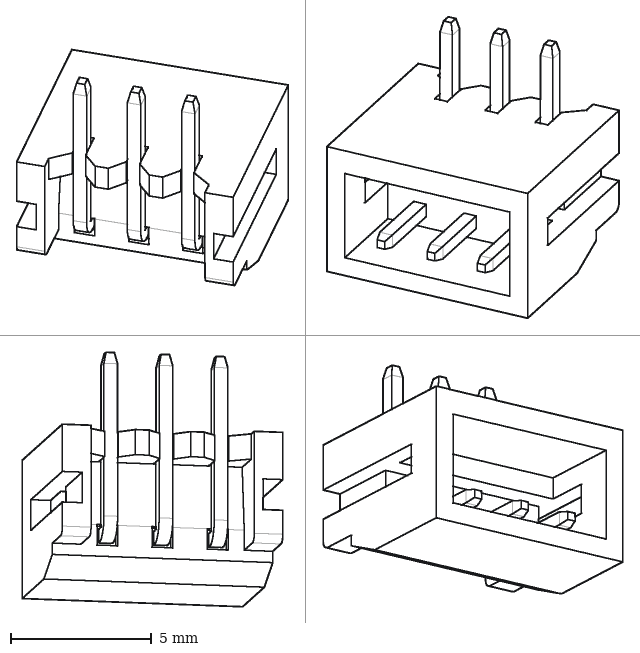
import cadquery as cq


width = 8.0
depth = 7.2
height = 5.0
half_width = width / 2

arm_thickness = 1.04
bay_half_width = half_width - arm_thickness
arm_underside = 1.02
arm_round = 0.3
bay_depth = 1.8
chamfer_top = 0.62
chamfer_end = 3.3
roof_thickness = 0.91
roof_underside = height - roof_thickness

lean_start_height = 1.76

tooth_tip_width = 0.5
tooth_front = 0.51
notch_front = 1.07
notch_back = 2.16

slot_depth = 0.72
slot_bottom = 2.18
slot_top = 3.29
window_start = 2.9
window_end = 5.62

cavity_front = 3.82
cavity_floor = 0.72
cavity_half_width = half_width - slot_depth

pin_count = 3
pitch = 2.0
pin_width = 0.5
upright_thickness = 0.56
pin_front = 1.2
pin_bottom = 1.16
level_thickness = 0.5
pin_top = 7.9
pin_back_end = 6.9
bend_radius = 0.82
tip_length = 0.42
tip_inset = 0.1

pocket_width = 0.75
pocket_floor = 1.02
pocket_back = notch_back

pin_places = [(i - (pin_count - 1) / 2) * pitch for i in range(pin_count)]


def block(x_min, x_max, y_min, y_max, z_min, z_max):
    """Box between two opposite corners."""
    size = (x_max - x_min, y_max - y_min, z_max - z_min)
    return cq.Workplane("XY").box(*size, centered=False).translate((x_min, y_min, z_min))


def side_profile(points, half_length):
    """Outline of (Y, Z) points extruded evenly about X = 0."""
    return cq.Workplane("YZ").polyline(points).close().extrude(half_length, both=True)


def make_shell():
    """Side outline with rounded arm noses and the chamfered underside."""
    shell = side_profile(
        [
            (0, arm_underside),
            (bay_depth, arm_underside),
            (bay_depth, chamfer_top),
            (chamfer_end, 0),
            (depth, 0),
            (depth, height),
            (0, height),
        ],
        half_width,
    )
    return shell.edges("|X").edges("<Y").edges("<Z").fillet(arm_round)


def cut_front_bay(body):
    """Opening between the arms, ending at the leaning wall below the roof."""
    bay = side_profile(
        [
            (0, 0),
            (bay_depth, 0),
            (bay_depth, lean_start_height),
            (notch_back, roof_underside),
            (0, roof_underside),
        ],
        bay_half_width,
    )
    return body.cut(bay)


def cut_roof_teeth(body):
    """Roof edge with a flared notch for each pin, leaving a blunt tooth between neighbours."""
    half_notch = pin_width / 2
    half_mouth = (pitch - tooth_tip_width) / 2
    outline = [(-bay_half_width, 0)]
    for place in pin_places:
        mouth_left = -bay_half_width if place == pin_places[0] else place - half_mouth
        mouth_right = bay_half_width if place == pin_places[-1] else place + half_mouth
        outline += [
            (mouth_left, tooth_front),
            (place - half_notch, notch_front),
            (place - half_notch, notch_back),
            (place + half_notch, notch_back),
            (place + half_notch, notch_front),
            (mouth_right, tooth_front),
        ]
    outline.append((bay_half_width, 0))
    gaps = cq.Workplane("XY", origin=(0, 0, roof_underside)).polyline(outline).close()
    return body.cut(gaps.extrude(roof_thickness))


def cut_side_slots(body):
    """Grooves along both arms and the window that crosses the whole housing."""
    left_groove = block(-half_width, -cavity_half_width, 0, window_end, slot_bottom, slot_top)
    right_groove = left_groove.mirror("YZ")
    window = block(-half_width, half_width, window_start, window_end, slot_bottom, slot_top)
    return body.cut(left_groove).cut(right_groove).cut(window)


def cut_cavity(body):
    """Mating cavity behind the wall."""
    cavity = block(
        -cavity_half_width, cavity_half_width, cavity_front, depth, cavity_floor, roof_underside
    )
    return body.cut(cavity)


def cut_pockets(body):
    """Clearance around each pin where it enters the wall."""
    half = pocket_width / 2
    for place in pin_places:
        body = body.cut(
            block(place - half, place + half, bay_depth, pocket_back, pocket_floor, lean_start_height)
        )
    return body


def make_tip(plane, end_center, thickness, length):
    """Tapered tip grown from a flat pin end; a negative length grows against the plane normal."""
    return (
        cq.Workplane(plane, origin=end_center)
        .rect(pin_width, thickness)
        .workplane(offset=length)
        .rect(pin_width - 2 * tip_inset, thickness - 2 * tip_inset)
        .loft(ruled=True)
    )


def make_pin():
    """Pin bent from the upright leg to the level leg, tapered at both ends."""
    upright_end = pin_top - tip_length
    level_end = pin_back_end - tip_length
    upright_back = pin_front + upright_thickness
    level_top = pin_bottom + level_thickness
    legs = side_profile(
        [
            (pin_front, pin_bottom),
            (level_end, pin_bottom),
            (level_end, level_top),
            (upright_back, level_top),
            (upright_back, upright_end),
            (pin_front, upright_end),
        ],
        pin_width / 2,
    )
    legs = legs.edges("|X").edges("<Y").edges("<Z").fillet(bend_radius)
    upright_center = (0, pin_front + upright_thickness / 2, upright_end)
    level_center = (0, level_end, pin_bottom + level_thickness / 2)
    upright_tip = make_tip("XY", upright_center, upright_thickness, tip_length)
    level_tip = make_tip("XZ", level_center, level_thickness, -tip_length)
    return legs.union(upright_tip).union(level_tip)


housing = make_shell()
housing = cut_front_bay(housing)
housing = cut_roof_teeth(housing)
housing = cut_side_slots(housing)
housing = cut_cavity(housing)
housing = cut_pockets(housing)

result = housing
pin = make_pin()
for place in pin_places:
    result = result.union(pin.translate((place, 0, 0)))